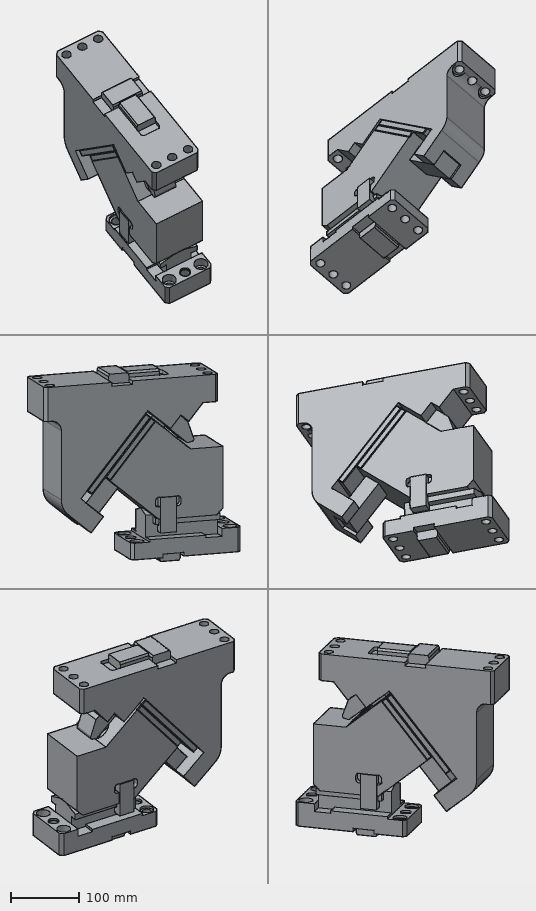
import cadquery as cq
import math


total_length = 305.0
total_height = 287.0
body_width = 80.0
hole_pitch = 27.5
counterbore_diameter = 20.0

key_length = 50.0
key_width = 32.0
key_height = 14.5
key_depth = 5.5
key_chamfer_width = 1.8
key_chamfer_height = 3.7

slide_angle = 50.0
slide_x = 56.5
slide_z = 107.5
slide_length = 161.5
plate_thickness = 10.0
slider_plate_end = 19.8
plate_chamfer = 1.2
plate_start = 15.0
slider_start = 47.0
slider_end = 156.8
rod_width = 36.0
rod_start = -25.0

holder_length = 269.5
holder_top = total_height - key_height + key_depth
holder_chamfer = 5.0
left_flange_bottom = 226.5
right_flange_bottom = 236.7
wall_x = 26.0
flange_fillet = 15.0
foot_fillet = 30.0
foot_thickness = 30.0
foot_end = 45.8
nose_end = 62.0
hook_height = 25.0
hook_top_end = 69.8
hook_tip_u = 8.8
hook_tip_v = 97.3
hook_bottom_end = 90.0
hook_fillet = 3.7
holder_hole_diameter = 13.5
holder_hole_inset = 12.5
top_key_x = 104.3
top_seat_end = 201.3
top_seat_radius = 4.5

driver_left = 134.8
driver_bottom = 9.0
driver_chamfer = 5.0
left_ear_top = 34.2
right_ear_top = 46.0
ledge_top = 37.8
ledge_step_x = 250.0
rib_left = 163.2
rib_right = 275.0
rib_width = 42.7
rail_left = 174.8
rail_width = 64.0
rail_bottom = 58.0
roof_eaves = 67.0
roof_ridge = 77.5
bottom_key_x = 184.0
driver_hole_diameter = 13.0
driver_hole_inset = 12.8
counterbore_floor = 30.5
shallow_bore_diameter = 15.5
shallow_bore_depth = 3.0

slider_right = 277.0
slider_top = 169.0
slider_bottom = roof_eaves
slider_chamfer = 9.8
slot_left = 172.0
slot_length = 39.5
slot_bottom = 85.5
slot_top = 100.0
slot_radius = 5.0
slot_depth = 9.0
spring_hole_diameter = 38.5
spring_hole_v = 75.5
spring_hole_depth = 30.5
strap_left = 179.3
strap_width = 24.7
strap_bottom = 47.0
strap_outer = 41.95
strap_inner = 34.0
lip_inner = 27.8
lip_top = 55.8
lip_fillet = 5.5


def slide_point(u, v):
    """X and Z of a point given along (u) and across (v) the slide."""
    angle = math.radians(slide_angle)
    x = slide_x + u * math.cos(angle) + v * math.sin(angle)
    z = slide_z + u * math.sin(angle) - v * math.cos(angle)
    return x, z


def slide_plane():
    """Middle plane of the unit with its axes along u and v."""
    angle = math.radians(slide_angle)
    return cq.Plane(
        origin=(slide_x, 0, slide_z),
        xDir=(math.cos(angle), 0, math.sin(angle)),
        normal=(0, 1, 0),
    )


def extrude_xz(points, width):
    """Prism of an XZ outline, centred on the middle plane."""
    return cq.Workplane("XZ").polyline(points).close().extrude(width / 2, both=True)


def slide_block(u_start, u_end, v_start, v_end, width):
    """Box along the slide, centred on the middle plane."""
    return (
        cq.Workplane(slide_plane())
        .moveTo(u_start, v_start)
        .lineTo(u_end, v_start)
        .lineTo(u_end, v_end)
        .lineTo(u_start, v_end)
        .close()
        .extrude(width / 2, both=True)
    )


def box(x_range, y_range, z_range):
    """Box between the given limits."""
    size = [high - low for low, high in (x_range, y_range, z_range)]
    corner = (x_range[0], y_range[0], z_range[0])
    return cq.Workplane("XY").box(*size, centered=False).translate(corner)


def wear_plate(u_start, v_start, v_end):
    """Plate along the slide with chamfered side edges."""
    plate = slide_block(u_start, slider_end, v_start, v_end, body_width)
    return plate.faces("<Y or >Y").chamfer(plate_chamfer)


def make_key():
    """Key that stands on Z = 0, long in Y, with its two long top edges chamfered."""
    half = key_width / 2
    shoulder = key_height - key_chamfer_height
    outline = [
        (-half, 0),
        (half, 0),
        (half, shoulder),
        (half - key_chamfer_width, key_height),
        (-half + key_chamfer_width, key_height),
        (-half, shoulder),
    ]
    return extrude_xz(outline, key_length)


def hole_row(x, diameter, z_low, z_high, rows=(-1, 0, 1)):
    """Vertical cylinders across the width at one X."""
    places = [(x, row * hole_pitch) for row in rows]
    return (
        cq.Workplane("XY", origin=(0, 0, z_low))
        .pushPoints(places)
        .circle(diameter / 2)
        .extrude(z_high - z_low)
    )


def make_holder():
    tip = slide_point(-foot_thickness, foot_end)
    nose = slide_point(slide_length + hook_height, nose_end)
    slope = math.tan(math.radians(slide_angle))
    foot_corner_z = tip[1] + (tip[0] - wall_x) / slope
    outline = [
        (0, holder_top),
        (holder_length, holder_top),
        (holder_length, right_flange_bottom),
        (nose[0] + (right_flange_bottom - nose[1]) / slope, right_flange_bottom),
        nose,
        slide_point(slide_length + hook_height, foot_end),
        slide_point(slide_length, foot_end),
        slide_point(slide_length, 0),
        slide_point(0, 0),
        slide_point(0, foot_end),
        tip,
        (wall_x, foot_corner_z),
        (wall_x, left_flange_bottom),
        (0, left_flange_bottom),
    ]
    holder = extrude_xz(outline, body_width)

    for corner_z, radius in ((left_flange_bottom, flange_fillet), (foot_corner_z, foot_fillet)):
        corner = cq.selectors.NearestToPointSelector((wall_x, 0, corner_z))
        holder = holder.edges(corner).fillet(radius)

    holder = holder.faces("<X or >X").edges("|Z").chamfer(holder_chamfer)

    left_hole_x = holder_hole_inset
    right_hole_x = holder_length - holder_hole_inset
    for x in (left_hole_x, right_hole_x):
        holder = holder.cut(hole_row(x, holder_hole_diameter, slide_z, holder_top))
    head_bottom = left_flange_bottom - flange_fillet
    heads = hole_row(left_hole_x, counterbore_diameter, head_bottom, left_flange_bottom, rows=(-1, 1))
    holder = holder.cut(heads)

    holder = holder.cut(slide_block(-foot_thickness, 0, slider_plate_end, foot_end, rod_width))

    seat_bottom = holder_top - key_depth
    groove_end = top_key_x + key_width
    groove = box((top_key_x, groove_end), (-body_width, body_width), (seat_bottom, total_height))
    seat = box((groove_end, top_seat_end), (-key_width / 2, key_width / 2), (seat_bottom, total_height))
    seat = seat.edges("|Z and >X").fillet(top_seat_radius)
    cross_key = make_key().translate((top_key_x + key_width / 2, 0, seat_bottom))
    long_key = make_key().rotate((0, 0, 0), (0, 0, 1), 90)
    long_key = long_key.translate((groove_end + key_length / 2, 0, seat_bottom))
    holder = holder.cut(groove).cut(seat).union(cross_key).union(long_key)

    hook = (
        cq.Workplane(slide_plane())
        .moveTo(slide_length, foot_end)
        .lineTo(slide_length + hook_height, foot_end)
        .lineTo(slide_length + hook_height, hook_top_end)
        .lineTo(slide_length + hook_tip_u, hook_tip_v)
        .lineTo(slide_length, hook_bottom_end)
        .close()
        .extrude(rod_width / 2, both=True)
    )
    hook = hook.edges("|Y and >X").fillet(hook_fillet)
    return holder.union(hook).union(wear_plate(plate_start, 0, plate_thickness))


def roof_prism(x_start, x_end):
    """Triangular prism between the eaves and the ridge."""
    return (
        cq.Workplane("YZ", origin=(x_start, 0, 0))
        .polyline([(-rail_width / 2, roof_eaves), (rail_width / 2, roof_eaves), (0, roof_ridge)])
        .close()
        .extrude(x_end - x_start)
    )


def make_strap():
    """Strap on the -Y side: head in the slider's slot, lip below the driver's rail."""
    floor = body_width / 2 - slot_depth
    return (
        cq.Workplane("YZ", origin=(strap_left, 0, 0))
        .moveTo(-strap_outer, strap_bottom)
        .lineTo(-strap_outer, slot_top)
        .lineTo(-floor, slot_top)
        .lineTo(-floor, slot_bottom)
        .lineTo(-strap_inner, slot_bottom)
        .lineTo(-strap_inner, lip_top + lip_fillet)
        .radiusArc((-strap_inner + lip_fillet, lip_top), -lip_fillet)
        .lineTo(-lip_inner, lip_top)
        .lineTo(-lip_inner, strap_bottom)
        .close()
        .extrude(strap_width)
    )


def make_slider():
    lower = slide_point(slider_start, slider_plate_end)
    upper = slide_point(slider_end, slider_plate_end)
    slope = math.tan(math.radians(slide_angle))
    outline = [
        lower,
        upper,
        (upper[0] + (upper[1] - slider_top) * slope, slider_top),
        (slider_right, slider_top),
        (slider_right, slider_bottom + slider_chamfer),
        (slider_right - slider_chamfer, slider_bottom),
        (lower[0] + (lower[1] - slider_bottom) * slope, slider_bottom),
    ]
    slider = extrude_xz(outline, body_width)
    slider = slider.union(slide_block(rod_start, slide_length, slider_plate_end, foot_end, rod_width))
    slider = slider.cut(roof_prism(driver_left, total_length))
    slider = slider.union(wear_plate(slider_start, plate_thickness, slider_plate_end))

    hole_x, hole_z = slide_point(slider_end - spring_hole_depth, spring_hole_v)
    hole_direction = slide_plane().xDir
    spring_hole = cq.Solid.makeCylinder(
        spring_hole_diameter / 2, spring_hole_depth, cq.Vector(hole_x, 0, hole_z), hole_direction
    )
    slider = slider.cut(cq.Workplane(spring_hole))

    side = body_width / 2
    slot = box((slot_left, slot_left + slot_length), (-side, slot_depth - side), (slot_bottom, slot_top))
    slot = slot.edges("|Y").fillet(slot_radius)
    strap = make_strap()
    for cutter, arm in ((slot, strap), (slot.mirror("XZ"), strap.mirror("XZ"))):
        slider = slider.cut(cutter).union(arm)
    return slider


def make_driver():
    outline = [
        (driver_left, driver_bottom),
        (total_length, driver_bottom),
        (total_length, right_ear_top),
        (rib_right, right_ear_top),
        (rib_right, left_ear_top),
        (ledge_step_x, left_ear_top),
        (ledge_step_x, ledge_top),
        (rib_left, ledge_top),
        (rib_left, left_ear_top),
        (driver_left, left_ear_top),
    ]
    driver = extrude_xz(outline, body_width)
    driver = driver.faces("<X or >X").edges("|Z").chamfer(driver_chamfer)

    half_rib = rib_width / 2
    half_rail = rail_width / 2
    rib = box((rib_left, rib_right), (-half_rib, half_rib), (key_height, roof_eaves))
    rail = box((rail_left, rib_right), (-half_rail, half_rail), (rail_bottom, roof_eaves))
    roof = roof_prism(rib_left, rib_right)
    rib_zone = box((rib_left, rail_left), (-half_rib, half_rib), (roof_eaves, roof_ridge))
    rail_zone = box((rail_left, rib_right), (-half_rail, half_rail), (roof_eaves, roof_ridge))
    driver = driver.union(rib).union(rail)
    driver = driver.union(roof.intersect(rib_zone)).union(roof.intersect(rail_zone))

    left_ear = (driver_left + driver_hole_inset, left_ear_top)
    right_ear = (total_length - driver_hole_inset, right_ear_top)
    for x, top in (left_ear, right_ear):
        driver = driver.cut(hole_row(x, driver_hole_diameter, 0, top))
        driver = driver.cut(hole_row(x, counterbore_diameter, counterbore_floor, top, rows=(-1, 1)))
        driver = driver.cut(hole_row(x, shallow_bore_diameter, top - shallow_bore_depth, top, rows=(0,)))

    groove_end = bottom_key_x + key_width
    groove = box((bottom_key_x, groove_end), (-body_width, body_width), (0, key_height))
    key = make_key().rotate((0, 0, 0), (1, 0, 0), 180)
    key = key.translate((bottom_key_x + key_width / 2, 0, key_height))
    return driver.cut(groove).union(key)


holder = make_holder()
slider = make_slider()
driver = make_driver()

result = cq.Compound.makeCompound([holder.val(), slider.val(), driver.val()])